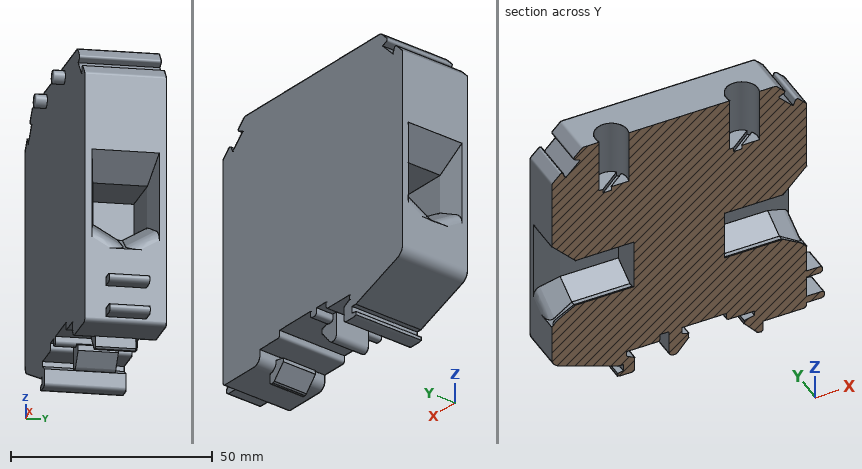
import cadquery as cq
import math


height = 76.0
body_width = 71.0
body_thickness = 20.7
mid_x = body_width / 2
mid_y = body_thickness / 2
overlap = 0.75

corner_chamfer = 8.6
corner_blend = 1.0
groove_depth = 2.2
groove_floor_half = 2.8
lip_radius = 0.5
lip_start_half = 2.7
lip_end_half = 2.3
lip_end_depth = 0.8

rail_face = 7.15
recess_top = 9.2
recess_left = 30.2
recess_right = 48.6
recess_blend = 0.75
tab_left = 34.0
tab_right = 36.35
rail_left = 20.9
rail_right = 56.4

ramp_angle = 20
ramp_end_x = 18.5
ramp_end_z = 3.4
ramp_start_z = ramp_end_z + ramp_end_x * math.tan(math.radians(ramp_angle))
ramp_blend = 3.05
foot_bottom = 0.15
foot_left = 18.3
foot_neck = 19.9
foot_right = 23.1
foot_blend = 0.8
hook_lip_top = 5.85
hook_lip_bottom = 4.65
toe_top = 1.6
toe_bevel_run = 0.8
toe_bevel_low = 0.4
toe_bevel_high = 1.3

base_bottom = 3.1
base_blend = 1.0
base_round_width = 2.35
base_round_height = 2.8

strip_thickness = 10.2
strip_front = 5.3
prong_height = 2.1
prongs = ((75.5, 13.7), (76.05, 5.7))
clip_left = 32.55
clip_tip_radius = 1.5
clip_tip_z = 1.45
clip_nose_x = 38.2
clip_nose_low = 5.4
clip_nose_high = 6.85
clip_shoulder = (36.35, 7.4)
latch_points = (
    (58.9, 4.6),
    (rail_right, 5.9),
    (53.55, 5.3),
    (53.55, 4.25),
    (57.1, 0.3),
    (57.65, 0.0),
    (58.4, 0.0),
    (58.9, 0.45),
)

screw_diameter = 8.75
screw_spacing = 36.35
screw_head_depth = 15.2
screw_slot_width = 1.3
screw_slot_depth = 1.15
screw_slot_angle = 37

pin_diameter = 3.5
pin_length = 2.9
pin_blend = 0.3
pin_spacing = 21.4
pin_z = 73.15

entry_width = 17.0
entry_top = 47.7
entry_vee_start = 27.2
entry_floor = 22.4
funnel_depth = 6.6
tunnel_width = 13.85
tunnel_top = 40.9
tunnel_vee_start = 30.2
tunnel_floor = 26.55
tunnel_end = 22.8
vee_angle = 30
vee_flare_radius = 3.05
floor_fill_bottom = 15.2


def plate(profile, front, thickness):
    """Extrude an XZ profile toward +Y, starting at y = front."""
    return profile.extrude(-thickness).translate((0, front, 0))


def mirrored(solid):
    """Reflect left to right about the middle of the body."""
    return solid.mirror("YZ", (mid_x, 0, 0))


def blend_corners(solid, radius, corners):
    """Round the edges along Y that pass through the given (x, z) corners."""
    reach = 0.15
    for x, z in corners:
        near = cq.selectors.BoxSelector(
            (x - reach, 0, z - reach), (x + reach, body_thickness, z + reach)
        )
        solid = solid.edges("|Y").edges(near).fillet(radius)
    return solid


def make_body():
    foot_arc_inset = foot_blend * (1 - math.sqrt(0.5))
    profile = (
        cq.Workplane("XZ")
        .moveTo(0, ramp_start_z)
        .lineTo(0, height - corner_chamfer)
        .lineTo(corner_chamfer, height)
        .lineTo(body_width - corner_chamfer, height)
        .lineTo(body_width, height - corner_chamfer)
        .lineTo(body_width, base_bottom)
        .lineTo(rail_right + base_round_width, base_bottom)
        .tangentArcPoint((rail_right, base_bottom + base_round_height), relative=False)
        .lineTo(rail_right, rail_face)
        .lineTo(recess_right, rail_face)
        .lineTo(recess_right, recess_top)
        .lineTo(tab_right, recess_top)
        .lineTo(tab_right, rail_face)
        .lineTo(tab_left, rail_face)
        .lineTo(tab_left, recess_top)
        .lineTo(recess_left, recess_top)
        .lineTo(recess_left, rail_face)
        .lineTo(rail_left, rail_face)
        .lineTo(rail_left, hook_lip_top)
        .lineTo(foot_right, hook_lip_bottom)
        .lineTo(foot_right, foot_bottom + foot_blend)
        .threePointArc(
            (foot_right - foot_arc_inset, foot_bottom + foot_arc_inset),
            (foot_right - foot_blend, foot_bottom),
        )
        .lineTo(foot_left + toe_bevel_run, foot_bottom)
        .lineTo(foot_left, toe_bevel_low)
        .lineTo(foot_left, toe_bevel_high)
        .lineTo(foot_neck, toe_top)
        .lineTo(foot_neck, ramp_end_z)
        .lineTo(ramp_end_x, ramp_end_z)
        .close()
    )
    top_corners = (
        (0, height - corner_chamfer),
        (corner_chamfer, height),
        (body_width - corner_chamfer, height),
        (body_width, height - corner_chamfer),
    )
    rail_corners = [(x, rail_face) for x in (recess_left, tab_left, tab_right, recess_right)]
    solid = plate(profile, 0, body_thickness)
    solid = blend_corners(solid, corner_blend, top_corners)
    solid = blend_corners(solid, ramp_blend, [(0, ramp_start_z)])
    solid = blend_corners(solid, base_blend, [(body_width, base_bottom)])
    return blend_corners(solid, recess_blend, rail_corners)


def make_corner_groove():
    """Dovetail groove with rounded lips, set square to the left top chamfer."""
    lip_tip_half = lip_start_half - lip_radius
    profile = (
        cq.Workplane("XZ")
        .moveTo(-lip_start_half, 0)
        .threePointArc((-lip_tip_half, -lip_radius), (-lip_end_half, -lip_end_depth))
        .lineTo(-groove_floor_half, -groove_depth)
        .lineTo(groove_floor_half, -groove_depth)
        .lineTo(lip_end_half, -lip_end_depth)
        .threePointArc((lip_tip_half, -lip_radius), (lip_start_half, 0))
        .lineTo(lip_start_half, overlap)
        .lineTo(-lip_start_half, overlap)
        .close()
    )
    return (
        plate(profile, 0, body_thickness)
        .rotate((0, 0, 0), (0, 1, 0), -45)
        .translate((corner_chamfer / 2, 0, height - corner_chamfer / 2))
    )


def entry_section(x, width, vee_start, top):
    """Closed YZ outline at x: straight sides and a V-shaped bottom."""
    half = width / 2
    vee_bottom = vee_start - half * math.tan(math.radians(vee_angle))
    return (
        cq.Workplane("YZ", origin=(x, mid_y, 0))
        .polyline(
            [(-half, top), (half, top), (half, vee_start), (0, vee_bottom), (-half, vee_start)]
        )
        .close()
    )


def cut_left_entry(solid):
    mouth = entry_section(0, entry_width, entry_vee_start, entry_top)
    throat = entry_section(funnel_depth, tunnel_width, tunnel_vee_start, tunnel_top)
    funnel = cq.Solid.makeLoft([mouth.wire().val(), throat.wire().val()], True)
    tunnel = throat.extrude(tunnel_end - funnel_depth)
    solid = solid.cut(cq.Workplane(funnel)).cut(tunnel)

    side_margin = 0.75
    vee_edges = cq.selectors.BoxSelector(
        (-overlap, mid_y - entry_width / 2 + side_margin, floor_fill_bottom),
        (overlap, mid_y + entry_width / 2 - side_margin, entry_vee_start),
    )
    solid = solid.edges(vee_edges).fillet(vee_flare_radius)

    floor = (
        cq.Workplane("XZ")
        .polyline(
            [
                (0, entry_floor),
                (funnel_depth, tunnel_floor),
                (tunnel_end, tunnel_floor),
                (tunnel_end, floor_fill_bottom),
                (0, floor_fill_bottom),
            ]
        )
        .close()
    )
    return solid.union(plate(floor, mid_y - entry_width / 2, entry_width))


def make_screw_recess(x):
    """Deep round hole that ends on a slotted screw head."""
    hole = cq.Workplane("XY").circle(screw_diameter / 2).extrude(screw_head_depth)
    slot = (
        cq.Workplane("XY")
        .rect(screw_diameter + overlap, screw_slot_width)
        .extrude(-screw_slot_depth)
        .rotate((0, 0, 0), (0, 0, 1), screw_slot_angle)
        .intersect(cq.Workplane("XY").circle(screw_diameter / 2).extrude(-screw_slot_depth))
    )
    return hole.union(slot).translate((x, mid_y, height - screw_head_depth))


def make_pin(x):
    return (
        cq.Workplane("XZ", origin=(x, overlap, pin_z))
        .circle(pin_diameter / 2)
        .extrude(pin_length + overlap)
        .faces("<Y")
        .edges()
        .fillet(pin_blend)
    )


def make_prong(tip_x, center_z):
    """Flat prong with a fully rounded tip."""
    half = prong_height / 2
    root_x = body_width - overlap
    profile = (
        cq.Workplane("XZ")
        .moveTo(root_x, center_z - half)
        .lineTo(tip_x - half, center_z - half)
        .threePointArc((tip_x, center_z), (tip_x - half, center_z + half))
        .lineTo(root_x, center_z + half)
        .close()
    )
    return plate(profile, strip_front, strip_thickness)


def make_clip():
    """Spring clip in the rail recess, with a rounded lower end and a side nose."""
    root_z = recess_top + overlap
    tip_x = clip_left + clip_tip_radius
    tip_center_z = clip_tip_z + clip_tip_radius
    diagonal = clip_tip_radius * math.sqrt(0.5)
    profile = (
        cq.Workplane("XZ")
        .moveTo(clip_left, root_z)
        .lineTo(clip_left, tip_center_z)
        .threePointArc((tip_x, clip_tip_z), (tip_x + diagonal, tip_center_z - diagonal))
        .lineTo(clip_nose_x, clip_nose_low)
        .lineTo(clip_nose_x, clip_nose_high)
        .lineTo(*clip_shoulder)
        .lineTo(tab_right - overlap, root_z)
        .close()
    )
    return plate(profile, strip_front, strip_thickness)


def make_latch():
    """Slanted latch that grips the rail opposite the foot."""
    profile = cq.Workplane("XZ").polyline(latch_points).close()
    return plate(profile, strip_front, strip_thickness)


result = make_body()

groove = make_corner_groove()
result = result.cut(groove).cut(mirrored(groove))

result = cut_left_entry(result)
result = mirrored(cut_left_entry(mirrored(result)))

for side in (-1, 1):
    result = result.cut(make_screw_recess(mid_x + side * screw_spacing / 2))
    result = result.union(make_pin(mid_x + side * pin_spacing / 2))

for tip_x, center_z in prongs:
    result = result.union(make_prong(tip_x, center_z))

result = result.union(make_clip()).union(make_latch())